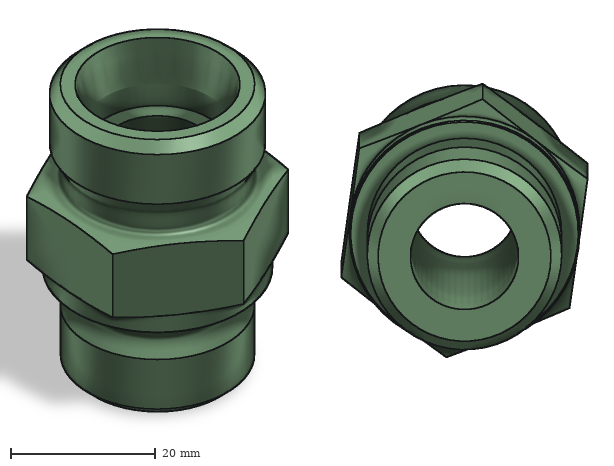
import math

import cadquery as cq

total_length = 47.0
stud_length = 16.0
collar_height = 3.0
hex_height = 12.0
thread_length = 9.87
collar_top = stud_length + collar_height
hex_top = collar_top + hex_height
upper_thread_bottom = total_length - thread_length

hex_across_flats = 32.0
hex_corner_radius = hex_across_flats / 2 / math.cos(math.pi / 6)
collar_radius = hex_across_flats / 2
collar_edge_chamfer = 0.2
lower_thread_radius = 27.0 / 2
upper_thread_radius = 30.0 / 2
thread_chamfer = 1.5
hex_chamfer_angle = math.radians(15)

flank_angle = math.radians(30)
lower_root_radius = 1.6
upper_neck_radius = 27.0 / 2
upper_groove_fillet = 1.25

bore_radius = 15.0 / 2
tube_radius = 20.0 / 2
seat_mouth_radius = 22.9 / 2
seat_cone_angle = math.radians(12)
tube_socket_depth = 10.5


def lower_stud():
    """Lower threaded end with its V-shaped relief groove and the round collar."""
    groove_middle = (thread_length + stud_length) / 2
    half_width = (stud_length - thread_length) / 2
    flank_meeting_radius = lower_thread_radius - half_width * math.tan(flank_angle)
    neck_radius = flank_meeting_radius + lower_root_radius * (1 / math.cos(flank_angle) - 1)
    arc_half_height = lower_root_radius * math.sin(flank_angle)
    arc_end_radius = neck_radius + lower_root_radius * (1 - math.cos(flank_angle))
    return (
        cq.Workplane("XZ")
        .moveTo(0, 0)
        .lineTo(lower_thread_radius - thread_chamfer, 0)
        .lineTo(lower_thread_radius, thread_chamfer)
        .lineTo(lower_thread_radius, thread_length)
        .lineTo(arc_end_radius, groove_middle - arc_half_height)
        .threePointArc((neck_radius, groove_middle), (arc_end_radius, groove_middle + arc_half_height))
        .lineTo(lower_thread_radius, stud_length)
        .lineTo(collar_radius - collar_edge_chamfer, stud_length)
        .lineTo(collar_radius, stud_length + collar_edge_chamfer)
        .lineTo(collar_radius, collar_top)
        .lineTo(0, collar_top)
        .close()
        .revolve(360, (0, 0, 0), (0, 1, 0))
    )


def hexagon():
    """Wrench hexagon with corners on the Y axis, chamfered at both ends."""
    prism = (
        cq.Workplane("XY")
        .workplane(offset=collar_top)
        .polygon(6, 2 * hex_corner_radius)
        .extrude(hex_height)
        .rotate((0, 0, 0), (0, 0, 1), 30)
    )
    corner_drop = (hex_corner_radius - collar_radius) * math.tan(hex_chamfer_angle)
    chamfer_envelope = (
        cq.Workplane("XZ")
        .moveTo(0, collar_top)
        .lineTo(collar_radius, collar_top)
        .lineTo(hex_corner_radius, collar_top + corner_drop)
        .lineTo(hex_corner_radius, hex_top - corner_drop)
        .lineTo(collar_radius, hex_top)
        .lineTo(0, hex_top)
        .close()
        .revolve(360, (0, 0, 0), (0, 1, 0))
    )
    return prism.intersect(chamfer_envelope)


def upper_stud():
    """Upper threaded end with a straight neck filleted into the hexagon."""
    fillet = upper_groove_fillet
    neck_bottom = hex_top + fillet
    fillet_center_radius = upper_neck_radius + fillet
    flank_end_radius = fillet_center_radius - fillet * math.cos(flank_angle)
    flank_height = (upper_thread_radius - flank_end_radius) / math.tan(flank_angle)
    flank_end = upper_thread_bottom - flank_height
    neck_top = flank_end - fillet * math.sin(flank_angle)

    def fillet_middle(center_height, angle):
        return (
            fillet_center_radius - fillet * math.cos(angle),
            center_height + fillet * math.sin(angle),
        )

    return (
        cq.Workplane("XZ")
        .moveTo(0, hex_top)
        .lineTo(fillet_center_radius, hex_top)
        .threePointArc(fillet_middle(neck_bottom, -math.pi / 4), (upper_neck_radius, neck_bottom))
        .lineTo(upper_neck_radius, neck_top)
        .threePointArc(fillet_middle(neck_top, flank_angle / 2), (flank_end_radius, flank_end))
        .lineTo(upper_thread_radius, upper_thread_bottom)
        .lineTo(upper_thread_radius, total_length - thread_chamfer)
        .lineTo(upper_thread_radius - thread_chamfer, total_length)
        .lineTo(0, total_length)
        .close()
        .revolve(360, (0, 0, 0), (0, 1, 0))
    )


def bore():
    """Through bore opening into the tube socket and its tapered sealing seat."""
    seat_depth = (seat_mouth_radius - tube_radius) / math.tan(seat_cone_angle)
    socket_bottom = total_length - tube_socket_depth
    return (
        cq.Workplane("XZ")
        .moveTo(0, 0)
        .lineTo(bore_radius, 0)
        .lineTo(bore_radius, socket_bottom)
        .lineTo(tube_radius, socket_bottom)
        .lineTo(tube_radius, total_length - seat_depth)
        .lineTo(seat_mouth_radius, total_length)
        .lineTo(0, total_length)
        .close()
        .revolve(360, (0, 0, 0), (0, 1, 0))
    )


result = lower_stud().union(hexagon()).union(upper_stud()).cut(bore())